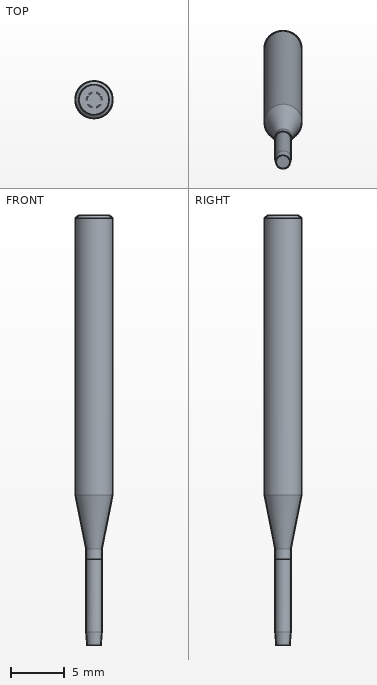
import cadquery as cq

total_length = 40.0
shank_diameter = 3.5
shank_chamfer_width = 0.35
shank_chamfer_height = 0.3
shank_bottom_z = 14.0

neck_diameter = 1.5
neck_top_z = 9.0

head_length = 8.0
tip_length = 1.25
tip_diameter = 1.3

shank_radius = shank_diameter / 2
neck_radius = neck_diameter / 2
tip_radius = tip_diameter / 2


def make_holder():
    """Chamfered shank that tapers down to a short neck."""
    profile = (
        cq.Workplane("XZ")
        .moveTo(0, head_length)
        .lineTo(neck_radius, head_length)
        .lineTo(neck_radius, neck_top_z)
        .lineTo(shank_radius, shank_bottom_z)
        .lineTo(shank_radius, total_length - shank_chamfer_height)
        .lineTo(shank_radius - shank_chamfer_width, total_length)
        .lineTo(0, total_length)
        .close()
    )
    return profile.revolve(360, (0, 0), (0, 1))


def make_cutting_head():
    """Straight head, as thick as the neck, with a slightly conical flat-ended tip."""
    profile = (
        cq.Workplane("XZ")
        .lineTo(tip_radius, 0)
        .lineTo(neck_radius, tip_length)
        .lineTo(neck_radius, head_length)
        .lineTo(0, head_length)
        .close()
    )
    return profile.revolve(360, (0, 0), (0, 1))


holder = make_holder()
cutting_head = make_cutting_head()
result = cq.Compound.makeCompound([holder.val(), cutting_head.val()])